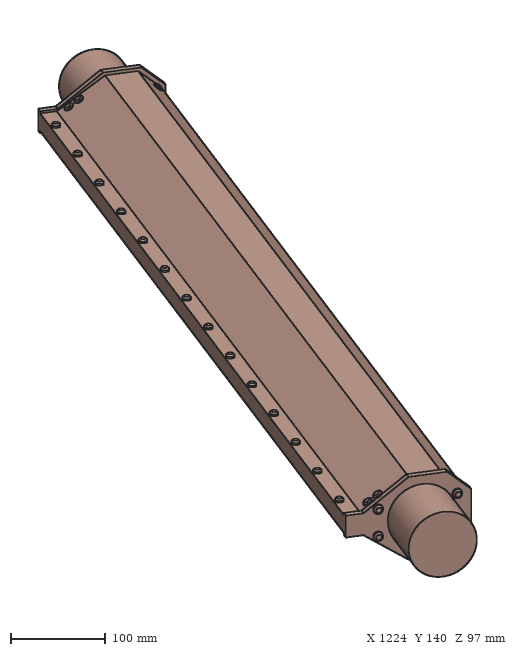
import cadquery as cq

LENGTH = 1224.0
TUBE_DIAMETER = 76.0
TUBE_AXIS_Y = 15.0
FRONT_Y = -70.0

PLATE_THICKNESS = 7.0
PLATE_OUTER_X = 539.0
PLATE_HEIGHT = 97.0
PLATE_BACK_HEIGHT = 49.0
PLATE_BACK_Y = 70.0
PLATE_TOP_BACK_Y = 43.0
PLATE_TOP_FRONT_Y = 0.0
NOSE_ROOT_Y = -50.0
NOSE_HEIGHT = 26.0

HOUSING_HEIGHT = 89.0
HOUSING_BACK_HEIGHT = 44.0
HOUSING_BACK_Y = 65.0
HOUSING_TOP_BACK_Y = 39.0
HOUSING_TOP_FRONT_Y = 2.0
FLANGE_ROOT_Y = -51.0
FLANGE_HEIGHT = 21.0
HOUSING_HALF_LENGTH = PLATE_OUTER_X - PLATE_THICKNESS

ROW_BOLT_COUNT = 14
ROW_LENGTH = 991.0
ROW_PITCH = ROW_LENGTH / (ROW_BOLT_COUNT - 1)
ROW_BOLT_DIAMETER = 9.5
ROW_BOLT_HEIGHT = 3.9
FLANGE_BOLT_Y = -64.0

PLATE_BOLT_DIAMETER = 10.5
PLATE_BOLT_HEIGHT = 4.2
PLATE_BOLT_PLACES = [(-34.0, 16.0), (54.0, 22.0)]

SCREW_DIAMETER = 10.5
SCREW_HEIGHT = 2.7
FRONT_SCREW_PLACES = [(523.0, -29.0), (523.0, -40.0)]
BACK_SCREW_PLACES = [(517.0, 56.0)]

CROWN_RATIO = 0.6
EMBED = 2.0


def mirrored_section(upper_outline, start_x, length):
    """Extrude a YZ outline and its mirror image below Z = 0 along +X."""
    lower_outline = [(y, -z) for y, z in reversed(upper_outline)]
    outline = upper_outline + lower_outline
    return cq.Workplane("YZ", origin=(start_x, 0, 0)).polyline(outline).close().extrude(length)


def button_head(seat, normal, diameter, height):
    """Head standing on a wall at `seat`, narrowing along `normal` to a flat crown."""
    chamfer_width = diameter * (1 - CROWN_RATIO) / 2
    return (
        cq.Workplane(cq.Plane(origin=seat, normal=normal))
        .workplane(offset=-EMBED)
        .circle(diameter / 2)
        .extrude(height + EMBED)
        .faces(cq.DirectionMinMaxSelector(cq.Vector(*normal)))
        .chamfer(height / 2, chamfer_width)
    )


housing_outline = [
    (HOUSING_BACK_Y, HOUSING_BACK_HEIGHT / 2),
    (HOUSING_TOP_BACK_Y, HOUSING_HEIGHT / 2),
    (HOUSING_TOP_FRONT_Y, HOUSING_HEIGHT / 2),
    (FLANGE_ROOT_Y, FLANGE_HEIGHT / 2),
    (FRONT_Y, FLANGE_HEIGHT / 2),
]
back_slope = housing_outline[0:2]
front_slope = housing_outline[2:4]

plate_outline = [
    (PLATE_BACK_Y, PLATE_BACK_HEIGHT / 2),
    (PLATE_TOP_BACK_Y, PLATE_HEIGHT / 2),
    (PLATE_TOP_FRONT_Y, PLATE_HEIGHT / 2),
    (NOSE_ROOT_Y, NOSE_HEIGHT / 2),
    (FRONT_Y, NOSE_HEIGHT / 2),
]


def make_body():
    """Housing, both end plates and the tube, fused."""
    housing = mirrored_section(housing_outline, -HOUSING_HALF_LENGTH, 2 * HOUSING_HALF_LENGTH)
    left_plate = mirrored_section(plate_outline, -PLATE_OUTER_X, PLATE_THICKNESS)
    right_plate = mirrored_section(plate_outline, HOUSING_HALF_LENGTH, PLATE_THICKNESS)
    tube = (
        cq.Workplane("YZ", origin=(-LENGTH / 2, TUBE_AXIS_Y, 0))
        .circle(TUBE_DIAMETER / 2)
        .extrude(LENGTH)
    )
    return housing.union(left_plate).union(right_plate).union(tube)


def row_bolts():
    """Evenly spaced heads on the flange, above and below, and on the back wall."""
    heads = []
    for index in range(ROW_BOLT_COUNT):
        x = index * ROW_PITCH - ROW_LENGTH / 2
        seats = [
            ((x, HOUSING_BACK_Y, 0), (0, 1, 0)),
            ((x, FLANGE_BOLT_Y, FLANGE_HEIGHT / 2), (0, 0, 1)),
            ((x, FLANGE_BOLT_Y, -FLANGE_HEIGHT / 2), (0, 0, -1)),
        ]
        for seat, normal in seats:
            heads.append(button_head(seat, normal, ROW_BOLT_DIAMETER, ROW_BOLT_HEIGHT))
    return heads


def plate_bolts():
    """Four heads on the outer face of each end plate."""
    heads = []
    for end in (-1, 1):
        for side in (-1, 1):
            for y, z in PLATE_BOLT_PLACES:
                seat = (end * PLATE_OUTER_X, y, side * z)
                heads.append(button_head(seat, (end, 0, 0), PLATE_BOLT_DIAMETER, PLATE_BOLT_HEIGHT))
    return heads


def slope_screws(slope, places):
    """Heads square to a sloping wall, at both ends, above and below."""
    (start_y, start_z), (end_y, end_z) = slope
    gradient = (end_z - start_z) / (end_y - start_y)
    heads = []
    for end in (-1, 1):
        for side in (-1, 1):
            for x, y in places:
                z = start_z + (y - start_y) * gradient
                seat = (end * x, y, side * z)
                heads.append(button_head(seat, (0, -gradient, side), SCREW_DIAMETER, SCREW_HEIGHT))
    return heads


result = make_body()
all_heads = (
    row_bolts()
    + plate_bolts()
    + slope_screws(front_slope, FRONT_SCREW_PLACES)
    + slope_screws(back_slope, BACK_SCREW_PLACES)
)
for head in all_heads:
    result = result.union(head)